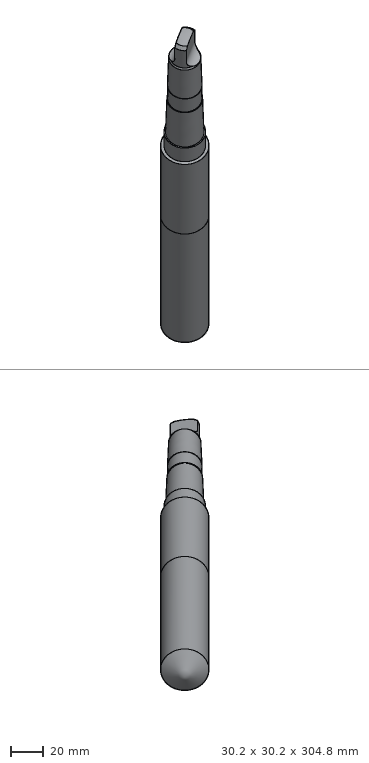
import cadquery as cq
import math

total_length = 304.8
drill_diameter = 30.2
point_angle = 118.0
base_z = -total_length / 2
top_z = base_z + total_length

cutting_height = 120.7
neck_bottom_height = 192.3
taper_bottom_height = 206.5
relief_bottom_height = 240.5
relief_top_height = 254.2
shoulder_height = 284.0
shoulder_bevel_height = 1.2

collar_diameter = 26.0
relief_diameter = 21.3
taper_bottom_diameter = 24.0
taper_ratio = 1 / 20

tang_diameter = 18.5
tang_thickness = 7.5
tang_angle = 27.0
tang_chamfer = 2.0
tang_dome_height = 1.0
tang_root_radius = 7.0
tang_root_height = 283.2


def taper_radius(height):
    """Radius of the tapered shank at a height above the drill tip."""
    return (taper_bottom_diameter - (height - taper_bottom_height) * taper_ratio) / 2


def revolve_profile(points):
    """Revolve (radius, height above tip) points into a solid about Z."""
    return (
        cq.Workplane("XZ", origin=(0, 0, base_z))
        .polyline(points)
        .close()
        .revolve(360, (0, 0), (0, 1))
    )


def make_cutting_part():
    """Cylindrical cutting part with a conical point."""
    radius = drill_diameter / 2
    point_height = radius / math.tan(math.radians(point_angle / 2))
    return revolve_profile([
        (0, 0),
        (radius, point_height),
        (radius, cutting_height),
        (0, cutting_height),
    ])


def make_tang_cutter():
    """Material removed beside one tang flat, with a concave arc at its root."""
    flat_x = tang_thickness / 2
    outer_x = drill_diameter
    root_z = base_z + tang_root_height
    mid_offset = tang_root_radius * (1 - math.sqrt(0.5))
    return (
        cq.Workplane("XZ")
        .moveTo(flat_x, top_z)
        .lineTo(flat_x, root_z + tang_root_radius)
        .threePointArc(
            (flat_x + mid_offset, root_z + mid_offset),
            (flat_x + tang_root_radius, root_z),
        )
        .lineTo(outer_x, root_z)
        .lineTo(outer_x, top_z)
        .close()
        .extrude(drill_diameter / 2, both=True)
    )


def make_tang_end_envelope():
    """Envelope that chamfers the tang end and rounds it to a shallow dome."""
    envelope_radius = drill_diameter
    tang_radius = tang_diameter / 2
    flat_radius = tang_radius - tang_chamfer
    dome_edge_height = total_length - tang_dome_height
    chamfer_base_height = dome_edge_height - tang_chamfer
    sphere_radius = (flat_radius ** 2 + tang_dome_height ** 2) / (2 * tang_dome_height)
    mid_radius = flat_radius / 2
    mid_drop = sphere_radius - math.sqrt(sphere_radius ** 2 - mid_radius ** 2)
    return (
        cq.Workplane("XZ", origin=(0, 0, base_z))
        .moveTo(0, 0)
        .lineTo(envelope_radius, 0)
        .lineTo(envelope_radius, chamfer_base_height)
        .lineTo(tang_radius, chamfer_base_height)
        .lineTo(flat_radius, dome_edge_height)
        .threePointArc((mid_radius, total_length - mid_drop), (0, total_length))
        .close()
        .revolve(360, (0, 0), (0, 1))
    )


def make_shank():
    """Plain body, collar, relieved taper and flattened drive tang."""
    body_radius = drill_diameter / 2
    collar_radius = collar_diameter / 2
    relief_radius = relief_diameter / 2
    tang_radius = tang_diameter / 2
    bevel_base_height = shoulder_height - shoulder_bevel_height
    shank = revolve_profile([
        (0, cutting_height),
        (body_radius, cutting_height),
        (body_radius, neck_bottom_height),
        (collar_radius, neck_bottom_height),
        (collar_radius, taper_bottom_height),
        (taper_radius(taper_bottom_height), taper_bottom_height),
        (taper_radius(relief_bottom_height), relief_bottom_height),
        (relief_radius, relief_bottom_height),
        (relief_radius, relief_top_height),
        (taper_radius(relief_top_height), relief_top_height),
        (taper_radius(bevel_base_height), bevel_base_height),
        (tang_radius, shoulder_height),
        (tang_radius, total_length),
        (0, total_length),
    ])
    shank = shank.intersect(make_tang_end_envelope())
    cutter = make_tang_cutter()
    for side_angle in (0, 180):
        shank = shank.cut(cutter.rotate((0, 0, 0), (0, 0, 1), tang_angle + side_angle))
    return shank


cutting_part = make_cutting_part()
shank = make_shank()

result = cq.Compound.makeCompound([cutting_part.val(), shank.val()])